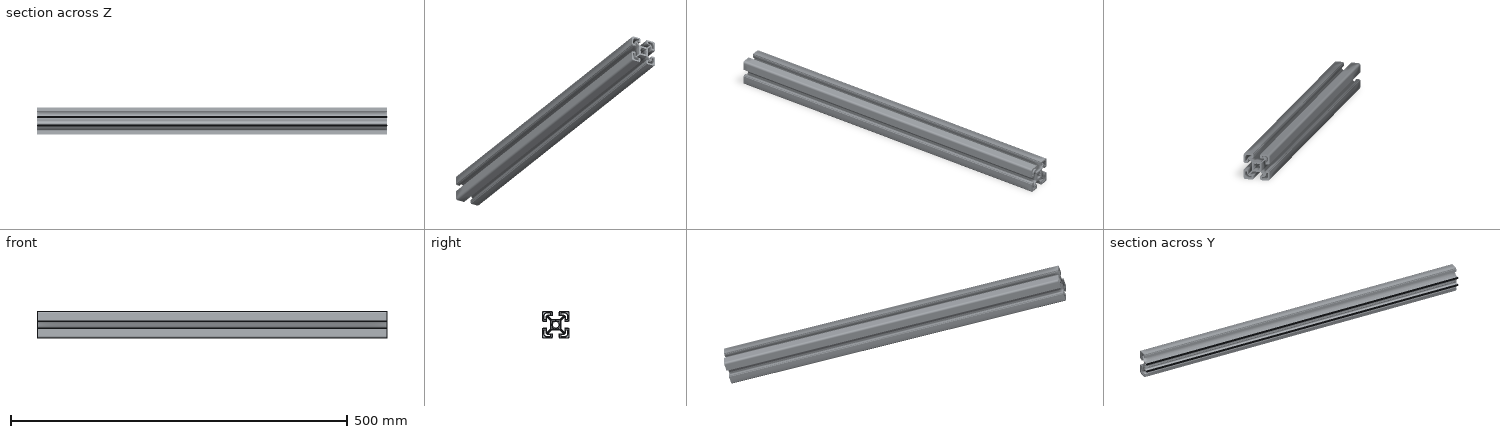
import cadquery as cq
import math

length = 520.0
side = 40.0
corner_radius = 3.0

slot_width = 10.0
mouth_width = 11.6
mouth_depth = 1.5
lip_edge_depth = 6.0
lip_depth = 6.5
lip_taper_width = 2.0

core_side = 15.0
web_thickness = 2.0

chamber_outer_wall = 2.25
chamber_width = 3.0
chamber_end_wall = 3.0
chamber_bend_radius = 5.0

bore_radius = 5.0
notch_half_width = 1.2
notch_tip_distance = 6.8

quarter_turns = range(4)
half_side = side / 2
half_slot = slot_width / 2
half_core = core_side / 2
diagonal_unit = math.sqrt(0.5)


def turned(point, quarter_turn):
    """Turn a (y, z) point clockwise about the bar axis by whole quarter turns."""
    y, z = point
    for _ in range(quarter_turn):
        y, z = z, -y
    return (y, z)


def mirrored(points):
    """Mirror (y, z) points across the corner diagonal y = z, in reverse order."""
    return [(z, y) for y, z in reversed(points)]


def line_through(wire, points, quarter_turn):
    """Continue the wire with straight lines through the turned points."""
    for point in points:
        wire = wire.lineTo(*turned(point, quarter_turn))
    return wire


def arc_point(center, radius, degrees):
    """Point on an arc whose center lies on the corner diagonal."""
    angle = math.radians(degrees)
    return (center + radius * math.cos(angle), center + radius * math.sin(angle))


def slot_flank():
    """Half a T-slot, from the core face up to the start of the corner rounding."""
    web_offset = web_thickness / (2 * diagonal_unit)
    lip_root = half_side - lip_depth
    return [
        (half_core - web_offset, half_core),
        (lip_root - web_offset, lip_root),
        (half_slot + lip_taper_width, lip_root),
        (half_slot, half_side - lip_edge_depth),
        (half_slot, half_side - mouth_depth),
        (mouth_width / 2, half_side - mouth_depth),
        (mouth_width / 2, half_side),
        (half_side - corner_radius, half_side),
    ]


def add_outline(wire):
    """Outer outline; each rounded corner is two arcs meeting on the diagonal."""
    flank = slot_flank()
    arc_center = half_side - corner_radius
    arc_angles = (67.5, 45, 22.5, 0)
    corner_arc = [arc_point(arc_center, corner_radius, degrees) for degrees in arc_angles]
    web_foot_y, web_foot_z = flank[0]
    wire = wire.moveTo(-web_foot_y, web_foot_z)
    for turn in quarter_turns:
        wire = line_through(wire, flank, turn)
        upper_mid, diagonal, lower_mid, end = [turned(point, turn) for point in corner_arc]
        wire = wire.threePointArc(upper_mid, diagonal).threePointArc(lower_mid, end)
        wire = line_through(wire, mirrored(flank)[1:], turn)
    return wire.close()


def add_chamber(wire, turn):
    """Right-angled chamber following one corner, rounded on both sides of its bend."""
    outer = half_side - chamber_outer_wall
    inner = outer - chamber_width
    end = half_slot + chamber_end_wall
    outer_center = outer - chamber_bend_radius
    inner_center = inner - chamber_bend_radius
    outer_mid = arc_point(outer_center, chamber_bend_radius, 45)
    inner_mid = arc_point(inner_center, chamber_bend_radius, 45)

    wire = wire.moveTo(*turned((end, inner), turn))
    wire = line_through(wire, [(end, outer), (outer_center, outer)], turn)
    wire = wire.threePointArc(turned(outer_mid, turn), turned((outer, outer_center), turn))
    wire = line_through(wire, [(outer, end), (inner, end), (inner, inner_center)], turn)
    wire = wire.threePointArc(turned(inner_mid, turn), turned((inner_center, inner), turn))
    return wire.close()


def add_bore(wire):
    """Round bore with four notches whose tips are square corners."""
    tip = notch_tip_distance * diagonal_unit
    shoulder = tip - notch_half_width / diagonal_unit
    root_along = math.sqrt(bore_radius**2 - notch_half_width**2) * diagonal_unit
    root_across = notch_half_width * diagonal_unit
    root = (root_along - root_across, root_along + root_across)
    notch = [(shoulder, tip), (tip, tip), (tip, shoulder), (root[1], root[0])]

    wire = wire.moveTo(*root)
    for turn in quarter_turns:
        wire = line_through(wire, notch, turn)
        wire = wire.threePointArc(turned((bore_radius, 0), turn), turned(root, turn + 1))
    return wire.close()


section = add_outline(cq.Workplane("YZ", origin=(-length / 2, 0, 0)))
for turn in quarter_turns:
    section = add_chamber(section, turn)
section = add_bore(section)

result = section.extrude(length, clean=False)